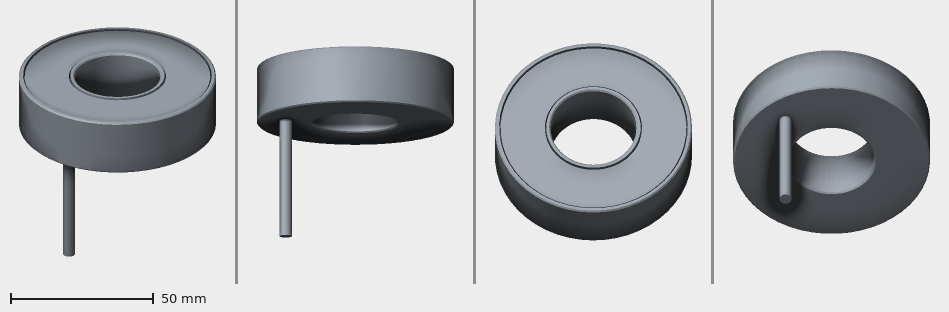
import cadquery as cq

outer_diameter = 69.0
bore_diameter = 30.0
body_height = 19.95
edge_chamfer = 0.5

recess_outer_diameter = 66.0
recess_inner_diameter = 33.0
recess_depth = 0.5

floor_outer_diameter = 65.0
floor_inner_diameter = 34.0
groove_depth = 3.0

total_height = 61.5
lead_diameter = 4.3
lead_offset = 24.85
lead_length = total_height - body_height


def make_body():
    """Ring with every outer and bore edge chamfered."""
    ring = (
        cq.Workplane("XY")
        .circle(outer_diameter / 2)
        .circle(bore_diameter / 2)
        .extrude(body_height)
    )
    return ring.edges("%CIRCLE").chamfer(edge_chamfer)


def ring_cutter(larger_diameter, smaller_diameter, depth):
    """Square-sided ring reaching down from the top face to the given depth."""
    return (
        cq.Workplane("XY")
        .workplane(offset=body_height)
        .circle(larger_diameter / 2)
        .circle(smaller_diameter / 2)
        .extrude(-depth)
    )


def make_lead():
    """Plain cylinder running down from the underside of the body."""
    return (
        cq.Workplane("XY")
        .center(0, -lead_offset)
        .circle(lead_diameter / 2)
        .extrude(-lead_length)
    )


recess = ring_cutter(recess_outer_diameter, recess_inner_diameter, recess_depth)
groove_bottom = recess_depth + groove_depth
outer_groove = ring_cutter(recess_outer_diameter, floor_outer_diameter, groove_bottom)
inner_groove = ring_cutter(floor_inner_diameter, recess_inner_diameter, groove_bottom)

result = make_body().cut(recess).cut(outer_groove).cut(inner_groove).union(make_lead())